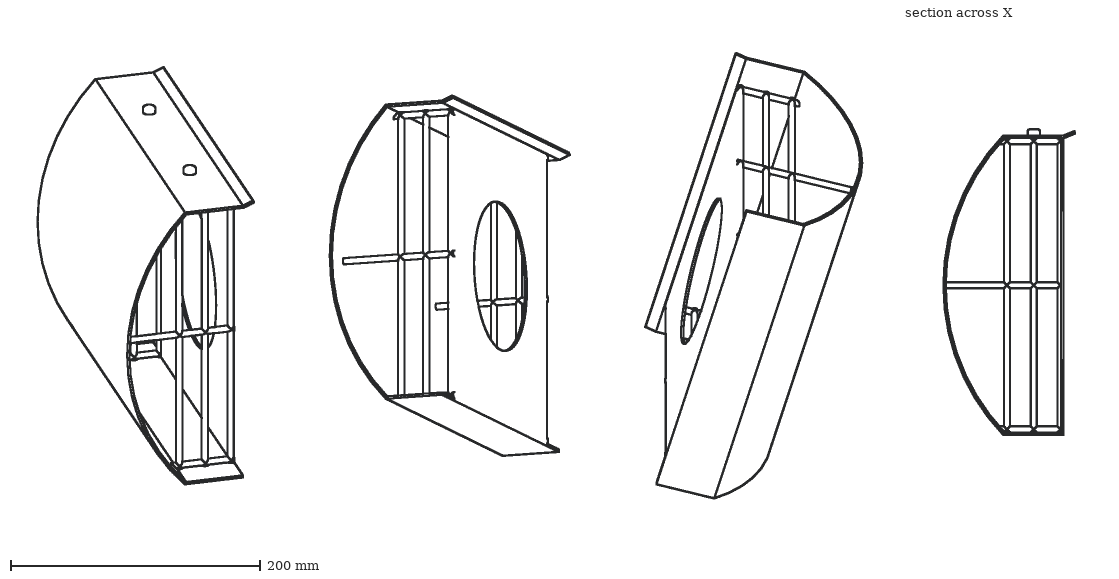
import cadquery as cq
import math

width = 265.0
shell_height = 240.0
sheet = 2.0
mid_height = shell_height / 2
bow_depth = 48.2
back_y = 96.5

flap_reach = 9.3
flap_slope = math.radians(22)

rod_diameter = 5.0
rod_radius = rod_diameter / 2
guard_x = 105.2
upright_count = 3
upright_pitch = 21.5

panel_width = 2 * guard_x
panel_hole_diameter = 120.0

stud_diameter = 10.0
stud_height = 5.0
stud_fillet = 2.0
stud_spacing = 120.0
stud_y = 72.5

bow_radius = (mid_height**2 + bow_depth**2) / (2 * bow_depth)


def make_body(inset):
    """Solid D-shaped body, with the bow and the plates moved inwards by the inset."""
    half_height = mid_height - inset
    radius = bow_radius - inset
    corner_y = bow_radius - math.sqrt(radius**2 - half_height**2)
    low = mid_height - half_height
    high = mid_height + half_height
    return (
        cq.Workplane("YZ")
        .moveTo(back_y, low)
        .lineTo(corner_y, low)
        .threePointArc((inset, mid_height), (corner_y, high))
        .lineTo(back_y, high)
        .close()
        .extrude(width / 2, both=True)
    )


def make_flap():
    """Sloping strip that continues the top plate past its back edge."""
    lower_tip_y = back_y + flap_reach
    upper_tip_y = lower_tip_y - sheet * math.sin(flap_slope)
    upper_tip_z = shell_height + (upper_tip_y - back_y) * math.tan(flap_slope)
    lower_tip_z = upper_tip_z - sheet * math.cos(flap_slope)
    lower_bend_y = back_y + sheet * math.tan(flap_slope / 2)
    return (
        cq.Workplane("YZ")
        .moveTo(back_y, shell_height)
        .lineTo(upper_tip_y, upper_tip_z)
        .lineTo(lower_tip_y, lower_tip_z)
        .lineTo(lower_bend_y, shell_height - sheet)
        .lineTo(back_y, shell_height - sheet)
        .close()
        .extrude(width / 2, both=True)
    )


def make_panel():
    """Upright panel flush with the back edge, with a central round opening."""
    return (
        cq.Workplane("XZ", origin=(0, back_y, mid_height))
        .rect(panel_width, shell_height)
        .circle(panel_hole_diameter / 2)
        .extrude(sheet)
    )


def make_guard(x):
    """Uprights and cross rods of one wire guard, ending inside the sheet."""
    guard = cq.Workplane("XY")
    for index in range(upright_count):
        y = back_y - rod_radius - index * upright_pitch
        upright = cq.Workplane("XY", origin=(x, y, 0)).circle(rod_radius).extrude(shell_height)
        guard = guard.union(upright)
    low_rod_z = sheet + rod_radius
    for z in (low_rod_z, mid_height, shell_height - low_rod_z):
        cross_rod = cq.Workplane("XZ", origin=(x, back_y, z)).circle(rod_radius).extrude(back_y)
        guard = guard.union(cross_rod)
    return guard.intersect(make_body(sheet / 2))


def make_stud(x):
    """Round stud with a filleted top edge."""
    return (
        cq.Workplane("XY", origin=(x, stud_y, shell_height))
        .circle(stud_diameter / 2)
        .extrude(stud_height)
        .faces(">Z")
        .edges()
        .fillet(stud_fillet)
    )


shell = make_body(0).cut(make_body(sheet))
result = shell.union(make_flap()).union(make_panel())
for side in (-1, 1):
    result = result.union(make_guard(side * guard_x))
    result = result.union(make_stud(side * stud_spacing / 2))